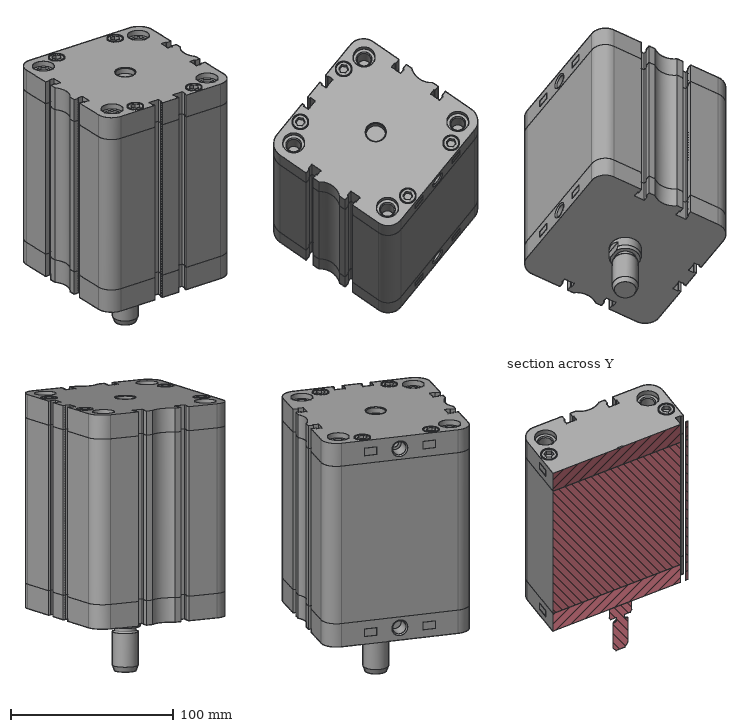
import cadquery as cq

SIDE = 95.5
HALF_SIDE = SIDE / 2
CORNER_RADIUS = 10.0
TOTAL_LENGTH = 171.0
ROD_LENGTH = 37.0
BLOCK_HEIGHT = TOTAL_LENGTH - ROD_LENGTH
FRONT_CAP_HEIGHT = 15.4
REAR_CAP_HEIGHT = 15.0
REAR_CAP_BOTTOM = BLOCK_HEIGHT - REAR_CAP_HEIGHT

SLOT_OPENING = 5.5
SLOT_INNER_WIDTH = 7.0
SLOT_LIP = 3.5
SLOT_DEPTH = 6.8
SIDE_SLOT_LIP = 1.7
SIDE_SLOT_DEPTH = 5.3
SLOT_OFFSET = 15.0
SIDE_SLOT_OFFSET = 9.0

HOLLOW_RADIUS = 12.5
HOLLOW_DEPTH = 2.9

MOUNT_OFFSET = 36.0
MOUNT_COUNTERBORE = 13.5
MOUNT_COUNTERBORE_DEPTH = 3.5
MOUNT_DIAMETER = 8.4
MOUNT_CHAMFER = 0.7

SCREW_X = 41.4
SCREW_Y = 22.2
SCREW_RECESS_DIAMETER = 10.3
SCREW_HEAD_DIAMETER = 9.2
SCREW_GAP_DEPTH = 0.7
HEX_SIDES = 6
HEX_ACROSS_CORNERS = 6.0
HEX_DEPTH = 2.9

CENTRE_DIAMETER = 12.0
CENTRE_DEPTH = 4.0
CENTRE_CHAMFER = 0.5

PORT_DIAMETER = 8.5
PORT_DEPTH = 10.3
PORT_CHAMFER = 0.9
REAR_PORT_FROM_END = 8.0
FRONT_PORT_FROM_END = 8.2
REAR_PASSAGE_DIAMETER = 5.0
REAR_PASSAGE_DEPTH = 5.1

LABEL_WIDTH = 8.0
LABEL_HEIGHT = 5.0
LABEL_DEPTH = 0.2
LABEL_OFFSET = 19.0
LABEL_FROM_END = 7.5

COLLAR_DIAMETER = 20.0
COLLAR_LENGTH = 9.0
COLLAR_CHAMFER_LENGTH = 2.0
COLLAR_CHAMFER_RADIAL = 0.9
FLAT_ACROSS = 17.1
FLAT_START = 3.2
NECK_DIAMETER = 13.5
NECK_END = 12.5
NECK_FILLET = 1.0
THREAD_DIAMETER = 16.0
TIP_DIAMETER = 13.5
TIP_CHAMFER_LENGTH = 3.5


def t_slot(opening, inner_width, lip, depth):
    """T-slot tool open towards -Y, its mouth on the X axis and its floor at +depth."""
    mouth = cq.Workplane("XY").rect(opening, 2 * depth).extrude(BLOCK_HEIGHT)
    inner = (
        cq.Workplane("XY")
        .center(0, (lip + depth) / 2)
        .rect(inner_width, depth - lip)
        .extrude(BLOCK_HEIGHT)
    )
    return mouth.union(inner)


def block_profile():
    """Full-height block with its rounded corners, T-slots and hollows."""
    block = cq.Workplane("XY").rect(SIDE, SIDE).extrude(BLOCK_HEIGHT).edges("|Z").fillet(CORNER_RADIUS)

    slot = t_slot(SLOT_OPENING, SLOT_INNER_WIDTH, SLOT_LIP, SLOT_DEPTH)
    hollow = (
        cq.Workplane("XY")
        .center(0, HOLLOW_DEPTH - HOLLOW_RADIUS)
        .circle(HOLLOW_RADIUS)
        .extrude(BLOCK_HEIGHT)
    )
    grooves = hollow
    for side in (-1, 1):
        grooves = grooves.union(slot.translate((side * SLOT_OFFSET, 0, 0)))
    grooves = grooves.translate((0, -HALF_SIDE, 0))
    block = block.cut(grooves).cut(grooves.mirror("XZ"))

    side_slot = t_slot(SLOT_OPENING, SLOT_INNER_WIDTH, SIDE_SLOT_LIP, SIDE_SLOT_DEPTH)
    side_slot = side_slot.rotate((0, 0, 0), (0, 0, 1), 90)
    for side in (-1, 1):
        block = block.cut(side_slot.translate((HALF_SIDE, side * SIDE_SLOT_OFFSET, 0)))
    return block


def block_section(bottom, top):
    """The part of the block between two heights."""
    layer = cq.Workplane("XY").workplane(offset=bottom).rect(SIDE, SIDE).extrude(top - bottom)
    return block_profile().intersect(layer)


def port(height):
    """Chamfered port tool entering the -X side at the given height."""
    bore = cq.Workplane("YZ", origin=(-HALF_SIDE, 0, height)).circle(PORT_DIAMETER / 2).extrude(PORT_DEPTH)
    entry = cq.Solid.makeCone(
        PORT_DIAMETER / 2 + PORT_CHAMFER,
        PORT_DIAMETER / 2,
        PORT_CHAMFER,
        pnt=cq.Vector(-HALF_SIDE, 0, height),
        dir=cq.Vector(1, 0, 0),
    )
    return bore.union(cq.Workplane(obj=entry))


def labels(height):
    """Two label recess tools in the -X side at the given height."""
    return (
        cq.Workplane("YZ", origin=(-HALF_SIDE, 0, height))
        .pushPoints([(-LABEL_OFFSET, 0), (LABEL_OFFSET, 0)])
        .rect(LABEL_WIDTH, LABEL_HEIGHT)
        .extrude(LABEL_DEPTH)
    )


def make_front_cap():
    cap = block_section(0, FRONT_CAP_HEIGHT)
    return cap.cut(port(FRONT_PORT_FROM_END)).cut(labels(LABEL_FROM_END))


def make_barrel():
    return block_section(FRONT_CAP_HEIGHT, REAR_CAP_BOTTOM)


def hole_chamfer(diameter, chamfer, depth):
    """45-degree cone tool widening a hole whose mouth lies the given depth below the rear face."""
    cone = cq.Solid.makeCone(
        diameter / 2 + chamfer,
        diameter / 2,
        chamfer,
        pnt=cq.Vector(0, 0, BLOCK_HEIGHT - depth),
        dir=cq.Vector(0, 0, -1),
    )
    return cq.Workplane(obj=cone)


def mounting_hole():
    """Counterbored, chamfered hole tool through the rear cap, on the Z axis."""
    top = cq.Workplane("XY", origin=(0, 0, BLOCK_HEIGHT))
    counterbore = top.circle(MOUNT_COUNTERBORE / 2).extrude(-MOUNT_COUNTERBORE_DEPTH)
    bore = top.circle(MOUNT_DIAMETER / 2).extrude(-REAR_CAP_HEIGHT)
    chamfer = hole_chamfer(MOUNT_DIAMETER, MOUNT_CHAMFER, MOUNT_COUNTERBORE_DEPTH)
    return counterbore.union(bore).union(chamfer)


def screw_head():
    """Tool for the gap around a screw head and its hexagon socket, on the Z axis."""
    top = cq.Workplane("XY", origin=(0, 0, BLOCK_HEIGHT))
    gap = top.circle(SCREW_RECESS_DIAMETER / 2).circle(SCREW_HEAD_DIAMETER / 2).extrude(-SCREW_GAP_DEPTH)
    socket = top.polygon(HEX_SIDES, HEX_ACROSS_CORNERS).extrude(-HEX_DEPTH)
    socket = socket.rotate((0, 0, 0), (0, 0, 1), 180 / HEX_SIDES)
    return gap.union(socket)


def make_rear_cap():
    cap = block_section(REAR_CAP_BOTTOM, BLOCK_HEIGHT)
    for x in (-1, 1):
        for y in (-1, 1):
            cap = cap.cut(mounting_hole().translate((x * MOUNT_OFFSET, y * MOUNT_OFFSET, 0)))
            cap = cap.cut(screw_head().translate((x * SCREW_X, y * SCREW_Y, 0)))

    top = cq.Workplane("XY", origin=(0, 0, BLOCK_HEIGHT))
    centre = top.circle(CENTRE_DIAMETER / 2).extrude(-CENTRE_DEPTH)
    cap = cap.cut(centre).cut(hole_chamfer(CENTRE_DIAMETER, CENTRE_CHAMFER, 0))

    port_height = BLOCK_HEIGHT - REAR_PORT_FROM_END
    passage = (
        cq.Workplane("YZ", origin=(-HALF_SIDE, 0, port_height))
        .circle(REAR_PASSAGE_DIAMETER / 2)
        .extrude(PORT_DEPTH + REAR_PASSAGE_DEPTH)
    )
    return cap.cut(port(port_height)).cut(passage).cut(labels(BLOCK_HEIGHT - LABEL_FROM_END))


def make_rod():
    collar_radius = COLLAR_DIAMETER / 2
    rod = (
        cq.Workplane("XZ")
        .moveTo(0, 0)
        .lineTo(collar_radius, 0)
        .lineTo(collar_radius, COLLAR_CHAMFER_LENGTH - COLLAR_LENGTH)
        .lineTo(collar_radius - COLLAR_CHAMFER_RADIAL, -COLLAR_LENGTH)
        .lineTo(NECK_DIAMETER / 2, -COLLAR_LENGTH)
        .lineTo(NECK_DIAMETER / 2, NECK_FILLET - NECK_END)
        .radiusArc((NECK_DIAMETER / 2 + NECK_FILLET, -NECK_END), -NECK_FILLET)
        .lineTo(THREAD_DIAMETER / 2, -NECK_END)
        .lineTo(THREAD_DIAMETER / 2, TIP_CHAMFER_LENGTH - ROD_LENGTH)
        .lineTo(TIP_DIAMETER / 2, -ROD_LENGTH)
        .lineTo(0, -ROD_LENGTH)
        .close()
        .revolve(360, (0, 0, 0), (0, 1, 0))
    )
    flat_x = FLAT_ACROSS / 2
    flat = (
        cq.Workplane("XZ")
        .moveTo(flat_x, -COLLAR_LENGTH)
        .lineTo(flat_x, -FLAT_START)
        .lineTo(flat_x + FLAT_START, 0)
        .lineTo(flat_x + FLAT_START, -COLLAR_LENGTH)
        .close()
        .extrude(collar_radius, both=True)
    )
    return rod.cut(flat).cut(flat.mirror("YZ"))


front_cap = make_front_cap()
barrel = make_barrel()
rear_cap = make_rear_cap()
rod = make_rod()

result = cq.Compound.makeCompound([front_cap.val(), barrel.val(), rear_cap.val(), rod.val()])